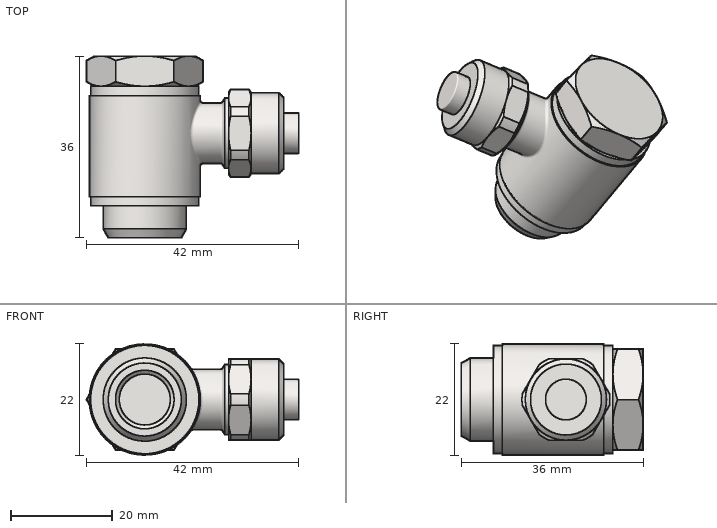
import cadquery as cq
import math


body_radius = 10.995
collar_radius = 10.72
stud_radius = 8.25
stud_tip_radius = 7.25
stud_chamfer_end = 1.8
stud_end = 6.35
body_start = 8.15
body_end = 28.17
head_start = 30.02
head_end = 36.0
head_across_flats = 20.0
head_chamfer_angle = 30

bore_radius = 5.05
bore_mouth_radius = 5.8
bore_depth = 21.02

branch_y = 20.75
neck_radius = 6.0
neck_fillet = 0.5
neck_end = 14.95
flange_radius = 7.0
flange_cone_angle = 60
nut_start = 16.55
nut_hex_end = 21.02
nut_end = 27.55
tube_end = 30.5
tube_edge_radius = 0.25
nut_radius = 8.05
nut_across_flats = 2 * nut_radius
nut_corner_radius = 8.7
nut_chamfer_length = 0.4
nut_end_chamfer = 1.0
tube_radius = 4.05


def turned_on_y(points):
    """Revolve a (radius, y) outline around the bolt axis."""
    return cq.Workplane("XY").polyline(points).close().revolve(360, (0, 0), (0, 1))


def turned_on_x(outline):
    """Revolve a closed (x, radius) outline around X, then move it to the branch axis."""
    return outline.revolve(360, (0, 0), (1, 0)).translate((0, branch_y, 0))


def hex_corner_radius(across_flats):
    return across_flats / 2 / math.cos(math.radians(30))


def make_head():
    flat_radius = head_across_flats / 2
    corner_radius = hex_corner_radius(head_across_flats)
    chamfer_height = (corner_radius - flat_radius) * math.tan(math.radians(head_chamfer_angle))
    prism = cq.Workplane("XZ", origin=(0, head_start, 0)).polygon(6, 2 * corner_radius)
    prism = prism.extrude(head_start - head_end)
    envelope = turned_on_y([
        (0, head_start),
        (flat_radius, head_start),
        (corner_radius, head_start + chamfer_height),
        (corner_radius, head_end - chamfer_height),
        (flat_radius, head_end),
        (0, head_end),
    ])
    return prism.intersect(envelope)


def make_bolt_and_collars():
    return turned_on_y([
        (0, 0),
        (stud_tip_radius, 0),
        (stud_radius, stud_chamfer_end),
        (stud_radius, stud_end),
        (collar_radius, stud_end),
        (collar_radius, head_start),
        (0, head_start),
    ])


def make_body_with_neck():
    body = cq.Workplane("XZ", origin=(0, body_start, 0)).circle(body_radius)
    body = body.extrude(body_start - body_end)
    neck = cq.Workplane("YZ", origin=(0, branch_y, 0)).circle(neck_radius).extrude(neck_end)
    joined = body.union(neck)
    joint = cq.selectors.BoxSelector(
        (body_radius / 2, branch_y - neck_radius, -neck_radius),
        (body_radius, branch_y + neck_radius, neck_radius),
        boundingbox=False,
    )
    return joined.edges(joint).fillet(neck_fillet)


def make_branch_end():
    slope = math.radians(flange_cone_angle)

    def arc_point(angle):
        return (
            neck_end + neck_fillet * math.sin(angle),
            neck_radius + neck_fillet * (1 - math.cos(angle)),
        )

    cone_start_x, cone_start_radius = arc_point(slope)
    flange_start = cone_start_x + (flange_radius - cone_start_radius) / math.tan(slope)
    outline = (
        cq.Workplane("XY")
        .moveTo(neck_end, 0)
        .lineTo(neck_end, neck_radius)
        .threePointArc(arc_point(slope / 2), arc_point(slope))
        .lineTo(flange_start, flange_radius)
        .lineTo(nut_hex_end, flange_radius)
        .lineTo(nut_hex_end, nut_radius)
        .lineTo(nut_end - nut_end_chamfer, nut_radius)
        .lineTo(nut_end, nut_radius - nut_end_chamfer)
        .lineTo(nut_end, tube_radius)
        .lineTo(tube_end - tube_edge_radius, tube_radius)
        .radiusArc((tube_end, tube_radius - tube_edge_radius), tube_edge_radius)
        .lineTo(tube_end, 0)
        .close()
    )
    return turned_on_x(outline)


def make_nut_hex():
    prism = cq.Workplane("YZ", origin=(nut_start, branch_y, 0))
    prism = prism.polygon(6, 2 * hex_corner_radius(nut_across_flats))
    prism = prism.extrude(nut_hex_end - nut_start)
    envelope_outline = cq.Workplane("XY").polyline([
        (nut_start, 0),
        (nut_start, nut_radius),
        (nut_start + nut_chamfer_length, nut_corner_radius),
        (nut_hex_end - nut_chamfer_length, nut_corner_radius),
        (nut_hex_end, nut_radius),
        (nut_hex_end, 0),
    ]).close()
    return prism.intersect(turned_on_x(envelope_outline))


def make_bore():
    countersink_depth = bore_mouth_radius - bore_radius
    return turned_on_y([
        (0, 0),
        (bore_mouth_radius, 0),
        (bore_radius, countersink_depth),
        (bore_radius, bore_depth),
        (0, bore_depth),
    ])


result = (
    make_body_with_neck()
    .union(make_bolt_and_collars())
    .union(make_head())
    .union(make_branch_end())
    .union(make_nut_hex())
    .cut(make_bore())
)